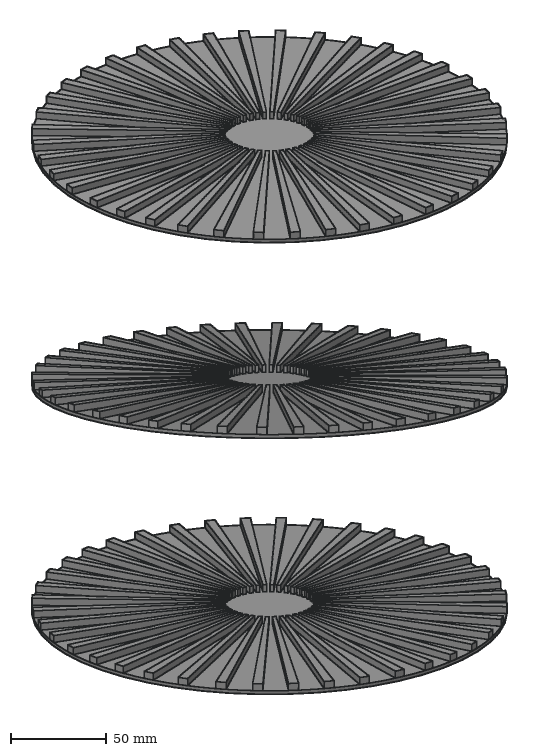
import cadquery as cq
import math

disc_diameter = 250.0
base_thickness = 2.1

total_height = 6.0
center_diameter = 47.9
rib_inner_width = 2.0
rib_outer_width = 5.4

sector_count = 8
sector_angle = 360.0 / sector_count
rib_angles_in_sector = [-1.25, 8.375, 17.3, 25.95, 34.65]

rib_height = total_height - base_thickness
disc_radius = disc_diameter / 2
rib_start = center_diameter / 2
rib_end = math.sqrt(disc_radius**2 - (rib_outer_width / 2) ** 2)


def make_rib(angle):
    """Flat-ended tapered rib along the radius at the given angle."""
    half_inner = rib_inner_width / 2
    half_outer = rib_outer_width / 2
    rib = (
        cq.Workplane("XY")
        .workplane(offset=base_thickness)
        .moveTo(rib_start, -half_inner)
        .lineTo(rib_end, -half_outer)
        .lineTo(rib_end, half_outer)
        .lineTo(rib_start, half_inner)
        .close()
        .extrude(rib_height)
        .rotate((0, 0, 0), (0, 0, 1), angle)
    )
    return rib.val()


def make_all_ribs():
    """Every rib of every sector."""
    ribs = []
    for sector in range(sector_count):
        for angle in rib_angles_in_sector:
            ribs.append(make_rib(sector * sector_angle + angle))
    return ribs


base = cq.Workplane("XY").circle(disc_radius).extrude(base_thickness)
result = cq.Workplane(base.val().fuse(*make_all_ribs()))